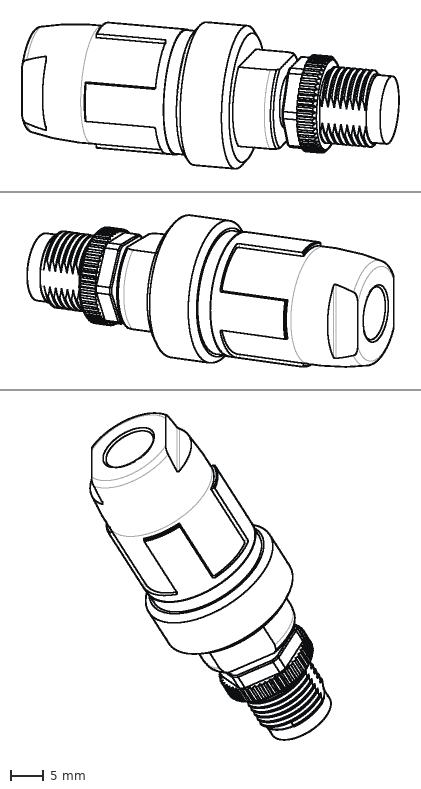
import cadquery as cq
import math


nose_end = 10.25
rib_start = 11.0
pocket_end = 22.35
seam_x = 23.8
sleeve_end = 26.0
collar_end = 34.5
shank_end = 40.95
neck_end = 42.15
hex_end = 44.7
ring_end = 47.7
thread_end = 55.25
length = 57.5

face_radius = 7.4
tip_round = 0.75
nose_radius = 8.3
body_radius = 9.2
sleeve_radius = 9.8
plain_radius = 9.65
bulge_x = 3.85
bulge_radius = 8.85
jaw_length = 4.0
jaw_half_width = 6.5
jaw_corner = 0.3
jaw_overrun = 0.6
recess_radius = 4.5
recess_depth = 0.35
rib_half_width = 3.1
rib_count = 4
rib_chamfer = 0.2
pocket_corner = 0.35

collar_radius = 11.15
collar_bevel_run = 0.9
collar_bevel_drop = 1.1
shank_radius = 8.05
shank_taper_start = 39.55
shank_taper_end = 40.55
shank_taper_radius = 7.9
shank_face_radius = 7.6
shank_half_height = 6.45
neck_radius = 4.2

hex_across_flats = 2 * shank_half_height
hex_corner_radius = 7.15
hex_chamfer = 0.25
knurl_count = 50
knurl_radius = 7.55
knurl_root_radius = 7.15
knurl_land_share = 0.45
knurl_chamfer = 0.5

turns_run = 7.0
turns_in_run = 7
pitch = turns_run / turns_in_run
thread_radius = 6.0
thread_root_radius = 5.4
ridge_crest = 0.3
ridge_base = 1.0
ridge_sink = 0.03
ridge_start = 46.85
ridge_turns = 8
tip_radius = 5.3
trim_radius = 7.15
bevel_run = 1.4
thread_flat = 5.25


def x_cylinder(start, end, radius):
    return cq.Workplane("YZ").workplane(offset=start).circle(radius).extrude(end - start)


def x_box(start, end, y_size, z_size, y_centre=0.0):
    block = cq.Workplane("XY").box(end - start, y_size, z_size)
    return block.translate(((start + end) / 2, y_centre, 0))


def clamping_nut():
    """Bulged nose with a rounded rim, two wrench jaws and a shallow cable recess."""
    diagonal = math.sqrt(0.5)
    rim_mid = (tip_round * (1 - diagonal), face_radius + (nose_radius - face_radius) * diagonal)
    nut = (
        cq.Workplane("XY")
        .moveTo(0, 0)
        .lineTo(0, face_radius)
        .threePointArc(rim_mid, (tip_round, nose_radius))
        .threePointArc((bulge_x, bulge_radius), (nose_end, body_radius))
        .lineTo(nose_end, 0)
        .close()
        .revolve(360, (0, 0, 0), (1, 0, 0))
    )
    cut_width = sleeve_radius - jaw_half_width
    for side in (-1, 1):
        jaw = x_box(
            -jaw_overrun,
            jaw_length,
            cut_width,
            2 * sleeve_radius,
            side * (jaw_half_width + cut_width / 2),
        )
        inner_edge = ">X and <Y" if side > 0 else ">X and >Y"
        nut = nut.cut(jaw.edges("|Z").edges(inner_edge).fillet(jaw_corner))
    recess = (
        cq.Workplane("YZ")
        .circle(recess_radius)
        .workplane(offset=recess_depth)
        .circle(recess_radius - recess_depth)
        .loft()
    )
    return nut.cut(recess)


def grip_rib():
    """Lengthwise rib on the -Y side, with flat parallel flanks."""
    rib = x_cylinder(rib_start, seam_x, sleeve_radius).faces("<X").chamfer(rib_chamfer)
    reach = 2 * sleeve_radius
    outline = (
        cq.Workplane("XZ")
        .moveTo(rib_start, -rib_half_width)
        .lineTo(pocket_end - pocket_corner, -rib_half_width)
        .radiusArc((pocket_end, -rib_half_width - pocket_corner), pocket_corner)
        .lineTo(pocket_end, -body_radius)
        .lineTo(seam_x, -body_radius)
        .lineTo(seam_x, body_radius)
        .lineTo(pocket_end, body_radius)
        .lineTo(pocket_end, rib_half_width + pocket_corner)
        .radiusArc((pocket_end - pocket_corner, rib_half_width), pocket_corner)
        .lineTo(rib_start, rib_half_width)
        .close()
        .extrude(reach)
    )
    return rib.intersect(outline)


def grip_sleeve():
    """Round sleeve with four ribs that leave shallow pockets between them."""
    sleeve = x_cylinder(nose_end, pocket_end, body_radius)
    sleeve = sleeve.union(x_cylinder(pocket_end, seam_x, sleeve_radius))
    sleeve = sleeve.union(x_cylinder(seam_x, sleeve_end, plain_radius))
    rib = grip_rib()
    for index in range(rib_count):
        sleeve = sleeve.union(rib.rotate((0, 0, 0), (1, 0, 0), index * 360 / rib_count))
    return sleeve


def collar():
    return (
        x_cylinder(sleeve_end, collar_end, collar_radius)
        .faces("<X or >X")
        .chamfer(collar_bevel_run, collar_bevel_drop)
    )


def shank():
    """Round shank with a tapered end and wrench flats above and below."""
    turned = (
        cq.Workplane("XY")
        .moveTo(collar_end, 0)
        .lineTo(collar_end, shank_radius)
        .lineTo(shank_taper_start, shank_radius)
        .lineTo(shank_taper_end, shank_taper_radius)
        .lineTo(shank_end, shank_face_radius)
        .lineTo(shank_end, 0)
        .close()
        .revolve(360, (0, 0, 0), (1, 0, 0))
    )
    flats = x_box(collar_end, shank_end, 2 * shank_radius, 2 * shank_half_height)
    return turned.intersect(flats)


def hexagon():
    """Hexagon with flats above and below and its corners turned round."""
    across_corners = hex_across_flats / math.cos(math.radians(30))
    prism = (
        cq.Workplane("YZ")
        .workplane(offset=neck_end)
        .polygon(6, across_corners)
        .extrude(hex_end - neck_end)
    )
    turned = x_cylinder(neck_end, hex_end, hex_corner_radius)
    return prism.intersect(turned).faces("<X").chamfer(hex_chamfer)


def knurled_ring():
    """Ring with straight V grooves between narrow lands, bevelled towards the thread."""
    spacing = 2 * math.pi / knurl_count
    half_land = knurl_land_share * spacing / 2
    points = []
    for index in range(knurl_count):
        groove = index * spacing
        land = groove + spacing / 2
        points.append((knurl_root_radius * math.cos(groove), knurl_root_radius * math.sin(groove)))
        for angle in (land - half_land, land + half_land):
            points.append((knurl_radius * math.cos(angle), knurl_radius * math.sin(angle)))
    teeth = (
        cq.Workplane("YZ")
        .workplane(offset=hex_end)
        .polyline(points)
        .close()
        .extrude(ring_end - hex_end)
    )
    bevelled = x_cylinder(hex_end, ring_end, knurl_radius).faces(">X").chamfer(knurl_chamfer)
    return teeth.intersect(bevelled)


def thread_ridge():
    """Right-handed ridge along X, starting at the bottom inside the knurled ring."""
    inner_radius = thread_root_radius - ridge_sink
    path = cq.Workplane(cq.Wire.makeHelix(pitch, ridge_turns * pitch, inner_radius))
    ridge = (
        cq.Workplane("XZ")
        .moveTo(inner_radius, -ridge_base / 2)
        .lineTo(thread_radius, -ridge_crest / 2)
        .lineTo(thread_radius, ridge_crest / 2)
        .lineTo(inner_radius, ridge_base / 2)
        .close()
        .sweep(path, isFrenet=True)
    )
    return ridge.rotate((0, 0, 0), (0, 1, 0), 90).translate((ridge_start, 0, 0))


def threaded_end():
    """Threaded barrel with two side flats and a bevelled end, then the plain plug tip."""
    thread = x_cylinder(hex_end, thread_end, thread_root_radius).union(thread_ridge())
    envelope = (
        x_cylinder(hex_end, thread_end, trim_radius)
        .faces(">X")
        .chamfer(trim_radius - tip_radius, bevel_run)
    )
    flats = x_box(hex_end, thread_end, 2 * thread_flat, 2 * trim_radius)
    core = x_cylinder(hex_end, ring_end, tip_radius)
    tip = x_cylinder(thread_end, length, tip_radius)
    return thread.intersect(envelope.intersect(flats)).union(core).union(tip)


result = (
    clamping_nut()
    .union(grip_sleeve())
    .union(collar())
    .union(shank())
    .union(x_cylinder(shank_end, neck_end, neck_radius))
    .union(hexagon())
    .union(knurled_ring())
    .union(threaded_end())
)